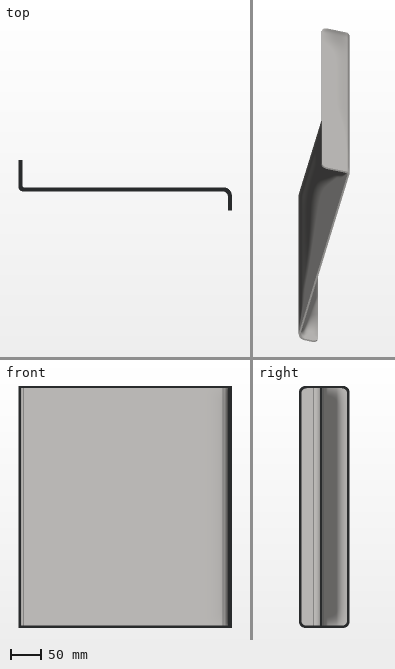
import cadquery as cq

width = 348.5
depth = 80.0
height = 396.0

thickness = 3.0
left_flange_depth = 48.0
left_inner_radius = 3.0
right_inner_radius = 10.0
corner_radius = 10.0

x_left = -width / 2
x_right = width / 2
y_front = -depth / 2
y_back = depth / 2
web_front = y_back - left_flange_depth
web_back = web_front + thickness


def bent_sheet():
    """Z-shaped sheet profile in the XY plane, extruded along Z."""
    left_outer_radius = left_inner_radius + thickness
    right_outer_radius = right_inner_radius + thickness
    left_bend_x = x_left + left_outer_radius
    left_bend_y = web_front + left_outer_radius
    right_bend_x = x_right - right_outer_radius
    right_bend_y = web_back - right_outer_radius

    profile = (
        cq.Workplane("XY")
        .workplane(offset=-height / 2)
        .moveTo(x_left, y_back)
        .lineTo(x_left, left_bend_y)
        .radiusArc((left_bend_x, web_front), -left_outer_radius)
        .lineTo(right_bend_x, web_front)
        .radiusArc((x_right - thickness, right_bend_y), right_inner_radius)
        .lineTo(x_right - thickness, y_front)
        .lineTo(x_right, y_front)
        .lineTo(x_right, right_bend_y)
        .radiusArc((right_bend_x, web_back), -right_outer_radius)
        .lineTo(left_bend_x, web_back)
        .radiusArc((x_left + thickness, left_bend_y), left_inner_radius)
        .lineTo(x_left + thickness, y_back)
        .close()
    )
    return profile.extrude(height)


def round_flange_corners(sheet):
    """Round the top and bottom corners at the free edge of each flange."""
    for free_edge_face in (">Y", "<Y"):
        sheet = sheet.faces(free_edge_face).edges("|X").fillet(corner_radius)
    return sheet


result = round_flange_corners(bent_sheet())